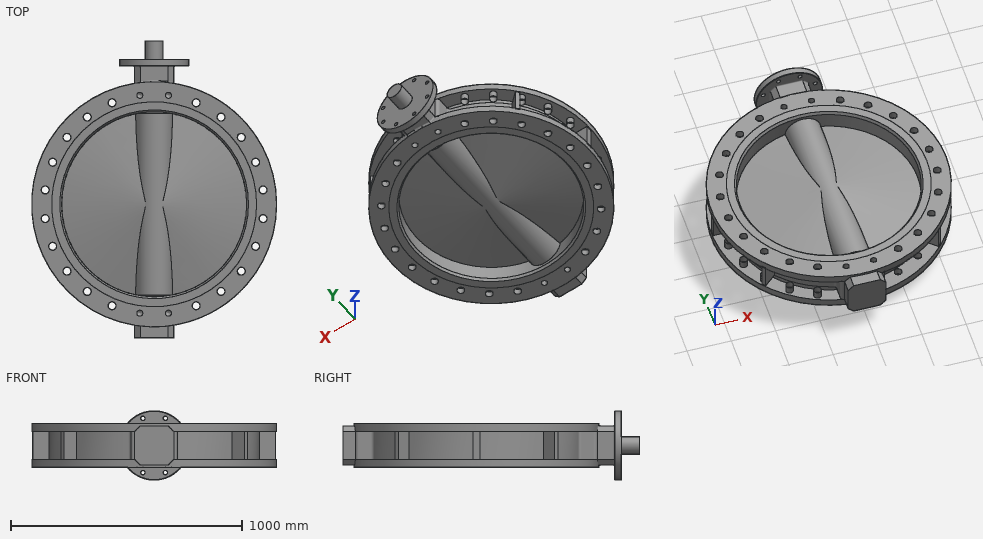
import cadquery as cq
import math


body_height = 190
flange_radius = 530
flange_thickness = 35
gap_height = body_height - 2 * flange_thickness
ring_radius = 455
liner_radius = 443

rib_tip_radius = 525
side_rib_thickness = 30
diagonal_rib_thickness = 20
diagonal_rib_angle = 41

lug_size = 170
lug_chamfer = 25
lower_lug_end = 578
cheek_width = 200
cheek_fillet = 15
neck_fillet = 5

bolt_count = 24
bolt_circle_radius = 475
bolt_hole_diameter = 33
tapped_hole_diameter = 26
tapped_hole_depth = 42
drill_point_angle = 118

actuator_flange_diameter = 300
actuator_flange_thickness = 30
actuator_flange_end = 627
actuator_flange_back = actuator_flange_end - actuator_flange_thickness
actuator_flange_chamfer = 2
actuator_bolt_count = 8
actuator_bolt_circle_radius = 127
actuator_bolt_hole_diameter = 18

bore_radius = 400
bore_lead_in_width = 8
bore_lead_in_height = 12

disc_apex_height = 78
disc_rim_half_thickness = 6
hub_radius = 80.5

stem_diameter = 77
stem_inner_end = 200
upper_stem_end = 706
lower_stem_end = 540

pick_margin = 1


def cylinder(radius, height):
    """Upright cylinder centred on the origin."""
    return cq.Workplane("XY").cylinder(height, radius)


def y_cylinder(radius, y_start, y_end):
    """Cylinder along the Y axis between two Y positions."""
    low_y = min(y_start, y_end)
    plane = cq.Workplane("XZ", origin=(0, low_y, 0))
    return plane.circle(radius).extrude(-abs(y_end - y_start))


def lug(y_end):
    """Chamfered square block along Y, from the middle of the valve to y_end."""
    block = cq.Workplane("XY").box(lug_size, abs(y_end), lug_size)
    return block.edges("|Y").chamfer(lug_chamfer).translate((0, y_end / 2, 0))


def rib(angle, thickness):
    """Radial rib between the flanges, rooted halfway into the ring wall."""
    root_radius = (ring_radius + liner_radius) / 2
    length = rib_tip_radius - root_radius
    plate = cq.Workplane("XY").box(length, thickness, gap_height)
    plate = plate.translate((root_radius + length / 2, 0, 0))
    return plate.rotate((0, 0, 0), (0, 0, 1), angle)


def ring_with_cheeks():
    """Wall between the flanges, with a filleted cheek around each lug."""
    ring = cylinder(ring_radius, gap_height)
    cheeks = cq.Workplane("XY").box(cheek_width, 2 * flange_radius, gap_height)
    cheeks = cheeks.intersect(cylinder(flange_radius, gap_height))
    wall = ring.union(cheeks)
    for x_side in (-1, 1):
        edge_zone = cq.selectors.BoxSelector(
            (x_side * cheek_width / 2 - pick_margin, -flange_radius, -pick_margin),
            (x_side * cheek_width / 2 + pick_margin, flange_radius, pick_margin),
        )
        wall = wall.edges(edge_zone).fillet(cheek_fillet)
    return wall


def flanges():
    """The two pipe flanges."""
    offset = (body_height - flange_thickness) / 2
    plate = cylinder(flange_radius, flange_thickness)
    return plate.translate((0, 0, offset)).union(plate.translate((0, 0, -offset)))


def actuator_flange():
    """Round mounting flange with its bolt holes."""
    plate = y_cylinder(actuator_flange_diameter / 2, actuator_flange_back, actuator_flange_end)
    plate = plate.faces("<Y").edges().chamfer(actuator_flange_chamfer)
    half_step = 180 / actuator_bolt_count
    holes = (
        cq.Workplane("XZ", origin=(0, actuator_flange_back, 0))
        .polarArray(actuator_bolt_circle_radius, half_step, 360, actuator_bolt_count)
        .circle(actuator_bolt_hole_diameter / 2)
        .extrude(-actuator_flange_thickness)
    )
    return plate.cut(holes)


def tapped_hole():
    """Blind hole with a drill point, entering at the top flange face on the Z axis."""
    radius = tapped_hole_diameter / 2
    top = body_height / 2
    shoulder = top - tapped_hole_depth
    tip = shoulder - radius / math.tan(math.radians(drill_point_angle / 2))
    outline = [(0, top), (radius, top), (radius, shoulder), (0, tip)]
    return cq.Workplane("XZ").polyline(outline).close().revolve(360, (0, 0), (0, 1))


def bolt_holes():
    """List of the bolt circle's holes, blind ones where a lug is in the way."""
    through = cylinder(bolt_hole_diameter / 2, body_height)
    blind = tapped_hole().union(tapped_hole().mirror("XY"))
    holes = []
    for index in range(bolt_count):
        angle = math.radians((index + 0.5) * 360 / bolt_count)
        x = bolt_circle_radius * math.cos(angle)
        y = bolt_circle_radius * math.sin(angle)
        beside_lug = abs(x) < lug_size / 2
        hole = blind if beside_lug else through
        holes.append(hole.translate((x, y, 0)))
    return holes


def fillet_upper_lug(body):
    """Fillets where the upper lug meets the actuator flange and the pipe flanges."""
    reach = lug_size / 2 + pick_margin
    actuator_joint = cq.selectors.BoxSelector(
        (-reach, actuator_flange_back - pick_margin, -reach),
        (reach, actuator_flange_back + pick_margin, reach),
    )
    body = body.edges(actuator_joint).edges("not %CIRCLE").fillet(neck_fillet)

    lug_corner_y = math.sqrt(flange_radius**2 - (lug_size / 2) ** 2)
    chamfer_start = lug_size / 2 - lug_chamfer + pick_margin
    for z_side in (-1, 1):
        pipe_flange_joint = cq.selectors.BoxSelector(
            (-reach, lug_corner_y - pick_margin, z_side * chamfer_start),
            (reach, flange_radius + pick_margin, z_side * reach),
        )
        body = body.edges(pipe_flange_joint).fillet(neck_fillet)
    return body


def make_body():
    """One casting: ring, pipe flanges, lugs, ribs and actuator flange."""
    body = ring_with_cheeks().union(flanges())
    body = body.union(lug(actuator_flange_back)).union(lug(-lower_lug_end))
    body = body.union(actuator_flange())

    body = fillet_upper_lug(body)
    for angle in (0, 180):
        body = body.union(rib(angle, side_rib_thickness))
    for angle in (diagonal_rib_angle, 180 - diagonal_rib_angle):
        body = body.union(rib(angle, diagonal_rib_thickness))
        body = body.union(rib(-angle, diagonal_rib_thickness))

    body = body.cut(cylinder(liner_radius, body_height))
    for hole in bolt_holes():
        body = body.cut(hole)
    stem_bore = y_cylinder(stem_diameter / 2, -lower_stem_end, upper_stem_end)
    return body.cut(stem_bore)


def make_liner():
    """Sleeve with a tapered lead-in at each end of its bore and holes for the stems."""
    half = body_height / 2
    mouth_radius = bore_radius + bore_lead_in_width
    outline = [
        (liner_radius, -half),
        (liner_radius, half),
        (mouth_radius, half),
        (bore_radius, half - bore_lead_in_height),
        (bore_radius, bore_lead_in_height - half),
        (mouth_radius, -half),
    ]
    sleeve = cq.Workplane("XZ").polyline(outline).close().revolve(360, (0, 0), (0, 1))
    return sleeve.cut(y_cylinder(stem_diameter / 2, -liner_radius, liner_radius))


def make_disc():
    """Double cone with a hub along the stem axis, trimmed to a ball and bored for the stems."""
    outline = [
        (0, -disc_apex_height),
        (bore_radius, -disc_rim_half_thickness),
        (bore_radius, disc_rim_half_thickness),
        (0, disc_apex_height),
    ]
    cones = cq.Workplane("XZ").polyline(outline).close().revolve(360, (0, 0), (0, 1))
    disc = cones.union(y_cylinder(hub_radius, -bore_radius, bore_radius))
    disc = disc.intersect(cq.Workplane("XY").sphere(bore_radius))
    for side in (-1, 1):
        stem_hole = y_cylinder(stem_diameter / 2, side * stem_inner_end, side * bore_radius)
        disc = disc.cut(stem_hole)
    return disc


body = make_body()
liner = make_liner()
disc = make_disc()
upper_stem = y_cylinder(stem_diameter / 2, stem_inner_end, upper_stem_end)
lower_stem = y_cylinder(stem_diameter / 2, -lower_stem_end, -stem_inner_end)

result = cq.Compound.makeCompound(
    [body.val(), liner.val(), disc.val(), upper_stem.val(), lower_stem.val()]
)